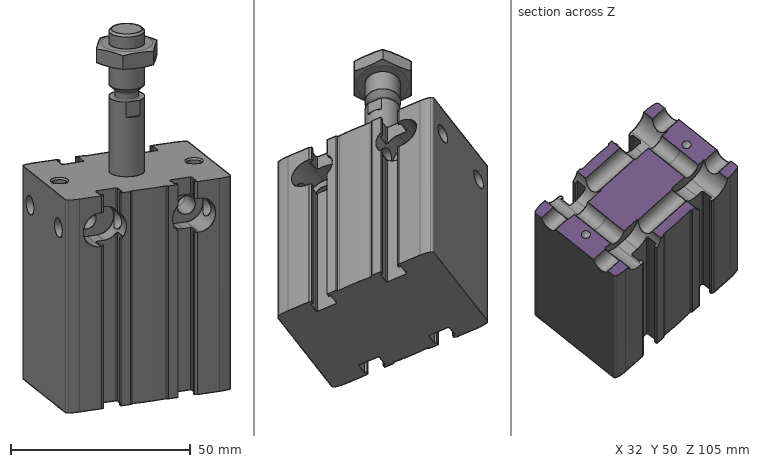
import cadquery as cq
import math


HOUSING_X = 32.0
HOUSING_Y = 50.0
HOUSING_Z = 63.0
TOTAL_Z = 105.0

SHOULDER_Y = 21.2
SHOULDER_RADIUS = 12.5
CORNER_RADIUS = 0.8
PANEL_STEP_OUTER_Y = 5.8
PANEL_STEP_INNER_Y = 5.5
PANEL_EDGE_Y = 4.9
PANEL_STEP_DEPTH = 0.3
PANEL_EDGE_DEPTH = 0.37
PANEL_RADIUS = 74.5

SLOT_Y = 11.2
SLOT_MOUTH_INNER_Y = 8.6
SLOT_MOUTH_OUTER_Y = 13.8
SLOT_WIDTH = 6.5
SLOT_LIP = 1.0
SLOT_DEPTH = 4.3
SLOT_CORNER_BEVEL = 0.3
LIP_BEVEL_Y = 0.7
LIP_BEVEL_X = 0.26

CROSS_HOLE_DIAMETER = 5.5
CROSS_HOLE_Z = HOUSING_Z - 10.0
CROSS_HOLE_X = 10.0
CROSS_HOLE_Y = 15.0
COUNTERBORE_DIAMETER = 10.0
COUNTERBORE_INNER_Y = 12.0
COUNTERBORE_DEPTH = 9.0

TOP_HOLE_Y = 20.4
TOP_HOLE_DIAMETER = 4.1
TOP_HOLE_MOUTH = 5.0
TOP_HOLE_DEPTH = 10.0
DRILL_POINT_ANGLE = 118.0

ROD_DIAMETER = 10.0
ROD_SHOULDER_Z = 85.0
FLATS_WIDTH = 9.0
FLATS_HEIGHT = 4.5
NECK_DIAMETER = 6.6
NECK_FILLET = 0.26
THREAD_BOTTOM_Z = 88.7
THREAD_TIP_DIAMETER = 8.6

NUT_ACROSS_FLATS = 16.0
NUT_THICKNESS = 5.0
NUT_TOP_Z = 100.8
NUT_FACE_DIAMETER = 14.4
NUT_CHAMFER_ANGLE = 15.0


def corner_arc_points():
    """Points on the shoulder arc and the corner arc that join the flat side to the end face."""
    half_x = HOUSING_X / 2
    half_y = HOUSING_Y / 2
    shoulder_x = half_x - SHOULDER_RADIUS
    corner_y = half_y - CORNER_RADIUS
    reach = SHOULDER_RADIUS - CORNER_RADIUS
    tangent_angle = math.asin((corner_y - SHOULDER_Y) / reach)
    corner_x = shoulder_x + reach * math.cos(tangent_angle)

    def on_arc(center_x, center_y, radius, angle):
        return (center_x + radius * math.cos(angle), center_y + radius * math.sin(angle))

    return {
        "shoulder_mid": on_arc(shoulder_x, SHOULDER_Y, SHOULDER_RADIUS, tangent_angle / 2),
        "tangent": on_arc(shoulder_x, SHOULDER_Y, SHOULDER_RADIUS, tangent_angle),
        "corner_mid": on_arc(corner_x, corner_y, CORNER_RADIUS, (tangent_angle + math.pi / 2) / 2),
        "corner_end": (corner_x, half_y),
    }


def housing_quarter():
    """The quarter of the housing with X > 0 and Y > 0, without any holes."""
    side_x = HOUSING_X / 2
    corner = corner_arc_points()
    panel_edge_x = side_x - PANEL_EDGE_DEPTH

    def panel_bulge(y):
        drop_at_edge = PANEL_RADIUS - math.sqrt(PANEL_RADIUS**2 - PANEL_EDGE_Y**2)
        drop = PANEL_RADIUS - math.sqrt(PANEL_RADIUS**2 - y**2)
        return panel_edge_x + drop_at_edge - drop

    lip_x = side_x - SLOT_LIP
    floor_x = side_x - SLOT_DEPTH
    bevel_start_x = side_x - LIP_BEVEL_X
    corner_start_x = floor_x + SLOT_CORNER_BEVEL
    slot_inner_y = SLOT_Y - SLOT_WIDTH / 2
    slot_outer_y = SLOT_Y + SLOT_WIDTH / 2

    return (
        cq.Workplane("XY")
        .moveTo(0, 0)
        .lineTo(panel_bulge(0), 0)
        .threePointArc((panel_bulge(PANEL_EDGE_Y / 2), PANEL_EDGE_Y / 2), (panel_edge_x, PANEL_EDGE_Y))
        .lineTo(side_x - PANEL_STEP_DEPTH, PANEL_STEP_INNER_Y)
        .lineTo(side_x, PANEL_STEP_OUTER_Y)
        .lineTo(side_x, SLOT_MOUTH_INNER_Y)
        .lineTo(lip_x, SLOT_MOUTH_INNER_Y)
        .lineTo(lip_x, slot_inner_y)
        .lineTo(corner_start_x, slot_inner_y)
        .lineTo(floor_x, slot_inner_y + SLOT_CORNER_BEVEL)
        .lineTo(floor_x, slot_outer_y - SLOT_CORNER_BEVEL)
        .lineTo(corner_start_x, slot_outer_y)
        .lineTo(lip_x, slot_outer_y)
        .lineTo(lip_x, SLOT_MOUTH_OUTER_Y)
        .lineTo(bevel_start_x, SLOT_MOUTH_OUTER_Y)
        .lineTo(side_x, SLOT_MOUTH_OUTER_Y + LIP_BEVEL_Y)
        .lineTo(side_x, SHOULDER_Y)
        .threePointArc(corner["shoulder_mid"], corner["tangent"])
        .threePointArc(corner["corner_mid"], corner["corner_end"])
        .lineTo(0, HOUSING_Y / 2)
        .close()
        .extrude(HOUSING_Z)
    )


def cross_holes():
    """Through holes along Y and along X, the latter counterbored at both ends."""
    along_y = (
        cq.Workplane("XZ", origin=(0, 0, CROSS_HOLE_Z))
        .pushPoints([(-CROSS_HOLE_X, 0), (CROSS_HOLE_X, 0)])
        .circle(CROSS_HOLE_DIAMETER / 2)
        .extrude(HOUSING_Y / 2, both=True)
    )
    along_x = (
        cq.Workplane("YZ", origin=(0, 0, CROSS_HOLE_Z))
        .pushPoints([(-CROSS_HOLE_Y, 0), (CROSS_HOLE_Y, 0)])
        .circle(CROSS_HOLE_DIAMETER / 2)
        .extrude(HOUSING_X / 2, both=True)
    )
    holes = along_y.union(along_x)
    middle_y = (CROSS_HOLE_Y + COUNTERBORE_INNER_Y) / 2
    length = CROSS_HOLE_Y - COUNTERBORE_INNER_Y + COUNTERBORE_DIAMETER
    for start_x in (-HOUSING_X / 2, HOUSING_X / 2 - COUNTERBORE_DEPTH):
        counterbores = (
            cq.Workplane("YZ", origin=(start_x, 0, CROSS_HOLE_Z))
            .pushPoints([(-middle_y, 0), (middle_y, 0)])
            .slot2D(length, COUNTERBORE_DIAMETER)
            .extrude(COUNTERBORE_DEPTH)
        )
        holes = holes.union(counterbores)
    return holes


def top_hole(y):
    """A blind drilled hole in the top face with a countersunk mouth and a conical bottom."""
    radius = TOP_HOLE_DIAMETER / 2
    mouth_radius = TOP_HOLE_MOUTH / 2
    point_height = radius / math.tan(math.radians(DRILL_POINT_ANGLE / 2))
    return (
        cq.Workplane("XZ", origin=(0, y, HOUSING_Z))
        .polyline(
            [
                (0, 0),
                (mouth_radius, 0),
                (radius, radius - mouth_radius),
                (radius, -TOP_HOLE_DEPTH),
                (0, -TOP_HOLE_DEPTH - point_height),
            ]
        )
        .close()
        .revolve(360, (0, 0, 0), (0, 1, 0))
    )


def make_housing():
    quarter = housing_quarter()
    half = quarter.union(quarter.mirror("XZ"))
    housing = half.union(half.mirror("YZ")).clean()
    housing = housing.cut(cross_holes())
    for y in (-TOP_HOLE_Y, TOP_HOLE_Y):
        housing = housing.cut(top_hole(y))
    return housing


def turned_rod():
    """The rod turned about Z, from the housing up through the relief neck to the threaded tip."""
    radius = ROD_DIAMETER / 2
    neck_radius = NECK_DIAMETER / 2
    tip_radius = THREAD_TIP_DIAMETER / 2
    thread_cone_z = THREAD_BOTTOM_Z - (radius - neck_radius)
    cone_turn = math.pi / 4
    cone_tangent = NECK_FILLET * math.tan(cone_turn / 2)
    upper_center_z = thread_cone_z - cone_tangent
    lower_center_z = ROD_SHOULDER_Z + NECK_FILLET
    fillet_center_x = neck_radius + NECK_FILLET

    def on_upper_fillet(angle):
        return (
            fillet_center_x - NECK_FILLET * math.cos(angle),
            upper_center_z + NECK_FILLET * math.sin(angle),
        )

    lower_mid = (
        fillet_center_x - NECK_FILLET * math.cos(math.pi / 4),
        lower_center_z - NECK_FILLET * math.sin(math.pi / 4),
    )
    return (
        cq.Workplane("XZ")
        .moveTo(0, HOUSING_Z)
        .lineTo(radius, HOUSING_Z)
        .lineTo(radius, ROD_SHOULDER_Z)
        .lineTo(fillet_center_x, ROD_SHOULDER_Z)
        .threePointArc(lower_mid, (neck_radius, lower_center_z))
        .lineTo(neck_radius, upper_center_z)
        .threePointArc(on_upper_fillet(cone_turn / 2), on_upper_fillet(cone_turn))
        .lineTo(radius, THREAD_BOTTOM_Z)
        .lineTo(radius, TOTAL_Z - (radius - tip_radius))
        .lineTo(tip_radius, TOTAL_Z)
        .lineTo(0, TOTAL_Z)
        .close()
        .revolve(360, (0, 0, 0), (0, 1, 0))
    )


def make_rod():
    """Piston rod standing on the housing, with two wrench flats just below its shoulder."""
    clearance = 2 * ROD_DIAMETER
    flat_cuts = (
        cq.Workplane("XY", origin=(0, 0, ROD_SHOULDER_Z - FLATS_HEIGHT))
        .rect(clearance, clearance)
        .rect(FLATS_WIDTH, clearance)
        .extrude(FLATS_HEIGHT)
    )
    return turned_rod().cut(flat_cuts)


def make_nut():
    """Hexagon nut with two flats facing -X and +X and its corners chamfered at both ends."""
    corner_diameter = NUT_ACROSS_FLATS / math.cos(math.pi / 6)
    bottom_z = NUT_TOP_Z - NUT_THICKNESS
    hexagon = (
        cq.Workplane("XY", origin=(0, 0, bottom_z))
        .transformed(rotate=(0, 0, 30))
        .polygon(6, corner_diameter)
        .extrude(NUT_THICKNESS)
    )
    face_radius = NUT_FACE_DIAMETER / 2
    outer_radius = corner_diameter
    drop = (outer_radius - face_radius) * math.tan(math.radians(NUT_CHAMFER_ANGLE))
    chamfer_envelope = (
        cq.Workplane("XZ")
        .polyline(
            [
                (0, bottom_z),
                (face_radius, bottom_z),
                (outer_radius, bottom_z + drop),
                (outer_radius, NUT_TOP_Z - drop),
                (face_radius, NUT_TOP_Z),
                (0, NUT_TOP_Z),
            ]
        )
        .close()
        .revolve(360, (0, 0, 0), (0, 1, 0))
    )
    thread_hole = (
        cq.Workplane("XY", origin=(0, 0, bottom_z)).circle(ROD_DIAMETER / 2).extrude(NUT_THICKNESS)
    )
    return hexagon.intersect(chamfer_envelope).cut(thread_hole)


housing = make_housing()
rod = make_rod()
nut = make_nut()

result = cq.Compound.makeCompound([housing.val(), rod.val(), nut.val()])